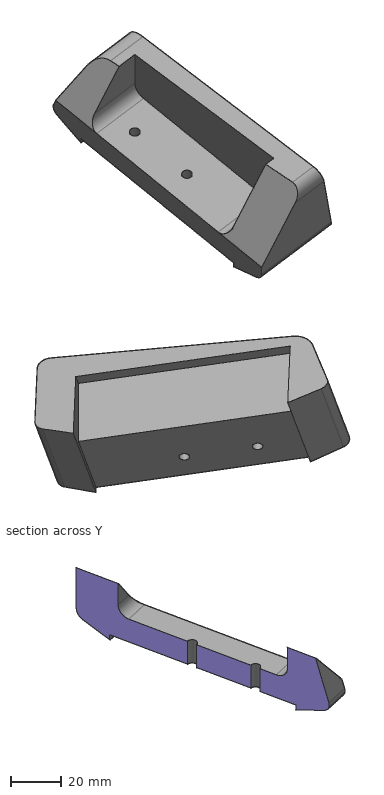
import cadquery as cq

length = 120.0
depth = 39.8
height = 44.3

foot_width = 16.1
lower_corner_left_x = -1.0
lower_corner_left_z = 6.5
lower_corner_right_z = 6.2
upper_corner_left_x = 8.8
upper_corner_left_z = 36.6
upper_corner_right_z = 44.6
lower_left_radius = 4.0
upper_left_radius = 10.0
right_radius = 5.0

floor_height = 14.0
top_front_y = 22.3
top_back_y = 33.8

pocket_margin = 20.0
pocket_width = length - 2 * pocket_margin
pocket_back_y = 25.9
pocket_radius = 5.0

recess_width = length - 2 * foot_width
recess_height = 2.5
relief_height = 31.7
back_wall = 5.0
relief_y = pocket_back_y + back_wall

hole_diameter = 4.2
hole_y = 11.5
first_hole_x = 35.0
hole_spacing = 30.0

clearance = 1.2


def box(x, y, z, size_x, size_y, size_z):
    """Box placed by its lowest corner."""
    return cq.Workplane("XY").box(size_x, size_y, size_z, centered=False).translate((x, y, z))


def round_corner(body, x, z, radius):
    """Round the Y-parallel edge that passes through (x, z)."""
    edge = cq.selectors.NearestToPointSelector((x, depth / 2, z))
    return body.edges("|Y").edges(edge).fillet(radius)


def rounded_block():
    """Lengthwise outline extruded over the full depth, with its four corners rounded."""
    lower_left = (lower_corner_left_x, lower_corner_left_z)
    lower_right = (length, lower_corner_right_z)
    upper_right = (length, upper_corner_right_z)
    upper_left = (upper_corner_left_x, upper_corner_left_z)
    outline = [(foot_width, 0), (length - foot_width, 0), lower_right, upper_right, upper_left, lower_left]
    body = cq.Workplane("XZ").polyline(outline).close().extrude(-depth)
    body = round_corner(body, *lower_left, lower_left_radius)
    body = round_corner(body, *lower_right, right_radius)
    body = round_corner(body, *upper_right, right_radius)
    return round_corner(body, *upper_left, upper_left_radius)


def side_envelope():
    """Cross-section with sloping front and back, wide enough to span the block."""
    section = [(0, 0), (depth, 0), (top_back_y, height), (top_front_y, height), (0, floor_height)]
    return (
        cq.Workplane("YZ", origin=(-clearance, 0, 0))
        .polyline(section)
        .close()
        .extrude(length + 2 * clearance)
    )


def pocket():
    """Front pocket, open at the front and top, with rounded bottom corners."""
    cutter = box(pocket_margin, -clearance, floor_height, pocket_width, pocket_back_y + clearance, height)
    return cutter.edges("|Y and <Z").fillet(pocket_radius)


def screw_holes():
    """Row of vertical through holes."""
    centers = [(first_hole_x + i * hole_spacing, hole_y) for i in range(2)]
    return cq.Workplane("XY").pushPoints(centers).circle(hole_diameter / 2).extrude(height)


foot_recess = box(foot_width, -clearance, -clearance,
                  recess_width, depth + 2 * clearance, recess_height + clearance)
back_relief = box(foot_width, relief_y, 0, recess_width, depth, relief_height)

result = (
    rounded_block()
    .intersect(side_envelope())
    .cut(pocket())
    .cut(foot_recess)
    .cut(back_relief)
    .cut(screw_holes())
)